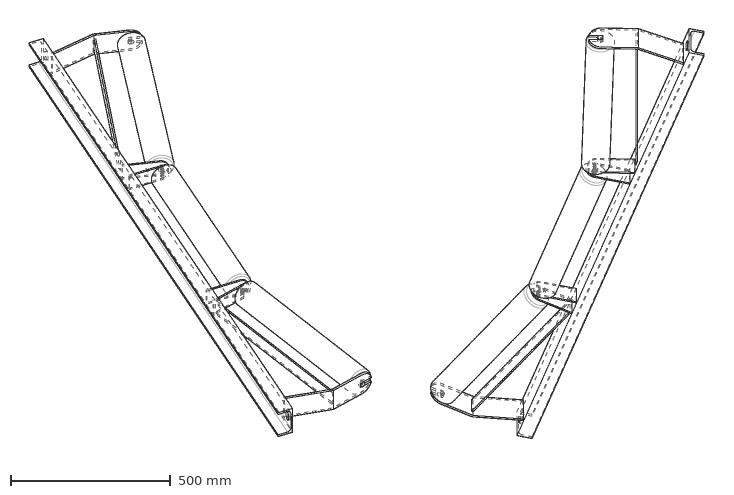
import cadquery as cq
import math

BEAM_LENGTH = 1900
BEAM_HEIGHT = 100.0
FLANGE_WIDTH = 50.0
WEB_THICKNESS = 5.0
FLANGE_THICKNESS = 8.0
ROOT_FILLET = 11.0
MOUNTING_SLOT_X = 923.0
MOUNTING_SLOT_LENGTH = 35.0
MOUNTING_SLOT_WIDTH = 17.0

ROLLER_DIAMETER = 90.0
ROLLER_LENGTH = 570
ROLLER_EDGE_RADIUS = 5.0
SHAFT_DIAMETER = 17.0
SHAFT_LENGTH = 597.0
TROUGH_ANGLE = 15
TILT_ANGLE = 2
CENTER_ROLLER_POSITION = (0, 114.0, -23.0)
LEFT_ROLLER_POSITION = (-598.0, 194.0, -11.0)

OUTER_THICKNESS = 8.0
OUTER_HEIGHT = 80.0
OUTER_FOOT_X = -884.0
OUTER_BEND_X = -912.0
OUTER_BEND_Y = 155.0
OUTER_TIP_Y = 305.0

INNER_THICKNESS = 5.0
INNER_HEIGHT = 55.0
INNER_CENTER_Z = -18.0
INNER_TIP_Y = 142.0
STRAIGHT_LEG_X = -295.0
SLOPED_LEG_FOOT_X = -348.0

STRUT_THICKNESS = 5.0
STRUT_HEIGHT = 50.0
STRUT_ANGLE = 16.5

TROUGH = math.radians(TROUGH_ANGLE)
TILT = math.radians(TILT_ANGLE)
UPPER_LEG_SLOPE = math.tan(TROUGH)
LOWER_LEG_SLOPE = (OUTER_BEND_X - OUTER_FOOT_X) / OUTER_BEND_Y
UPPER_LEG_HALF = OUTER_THICKNESS / 2 * math.hypot(1, UPPER_LEG_SLOPE)
LOWER_LEG_HALF = OUTER_THICKNESS / 2 * math.hypot(1, LOWER_LEG_SLOPE)

CENTER_FRAME = cq.Plane(CENTER_ROLLER_POSITION, xDir=(0, 1, 0), normal=(1, 0, 0))
LEFT_FRAME = cq.Plane(
    LEFT_ROLLER_POSITION,
    xDir=(math.sin(TROUGH), math.cos(TROUGH), 0),
    normal=(
        math.cos(TILT) * math.cos(TROUGH),
        -math.cos(TILT) * math.sin(TROUGH),
        -math.sin(TILT),
    ),
)


def plate(outline, height, center_z=0):
    """Extrude an XY outline to a height centred on center_z."""
    base = cq.Workplane("XY", origin=(0, 0, center_z))
    return base.polyline(outline).close().extrude(height / 2, both=True)


def round_tipped_strip(tip_y, height, center_z=0):
    """A strip from Y = 0 to a round tip, reaching across all X, to trim brackets with."""
    radius = height / 2
    shoulder_y = tip_y - radius
    return (
        cq.Workplane("YZ", origin=(0, 0, center_z))
        .moveTo(0, -radius)
        .lineTo(shoulder_y, -radius)
        .threePointArc((tip_y, 0), (shoulder_y, radius))
        .lineTo(0, radius)
        .close()
        .extrude(BEAM_LENGTH / 2, both=True)
    )


def rod(frame, diameter, length):
    """A round bar along a roller axis, centred on the frame's origin."""
    start = cq.Workplane(frame).workplane(offset=-length / 2)
    return start.circle(diameter / 2).extrude(length)


def make_beam():
    half_height = BEAM_HEIGHT / 2
    inner_z = half_height - FLANGE_THICKNESS
    profile = [
        (0, -half_height),
        (-FLANGE_WIDTH, -half_height),
        (-FLANGE_WIDTH, -inner_z),
        (-WEB_THICKNESS, -inner_z),
        (-WEB_THICKNESS, inner_z),
        (-FLANGE_WIDTH, inner_z),
        (-FLANGE_WIDTH, half_height),
        (0, half_height),
    ]
    channel = cq.Workplane("YZ").polyline(profile).close().extrude(BEAM_LENGTH / 2, both=True)

    root_box = cq.selectors.BoxSelector(
        (-BEAM_LENGTH, -2 * WEB_THICKNESS, -half_height),
        (BEAM_LENGTH, -WEB_THICKNESS / 2, half_height),
    )
    channel = channel.edges("|X").edges(root_box).fillet(ROOT_FILLET)

    mounting_slots = (
        cq.Workplane("XZ")
        .pushPoints([(-MOUNTING_SLOT_X, 0), (MOUNTING_SLOT_X, 0)])
        .slot2D(MOUNTING_SLOT_LENGTH, MOUNTING_SLOT_WIDTH, 90)
        .extrude(WEB_THICKNESS)
    )
    return channel.cut(mounting_slots)


def make_roller(frame):
    drum = rod(frame, ROLLER_DIAMETER, ROLLER_LENGTH)
    drum = drum.edges("%CIRCLE").fillet(ROLLER_EDGE_RADIUS)
    return drum.union(rod(frame, SHAFT_DIAMETER, SHAFT_LENGTH))


def outer_bend_corner(side):
    """Where the faces of the two legs meet: side is 1 for the inner faces, -1 for the outer."""
    rise = side * (LOWER_LEG_HALF - UPPER_LEG_HALF) / (UPPER_LEG_SLOPE - LOWER_LEG_SLOPE)
    x = OUTER_BEND_X + side * LOWER_LEG_HALF + LOWER_LEG_SLOPE * rise
    return x, OUTER_BEND_Y + rise


def make_left_outer_bracket():
    tip_x = OUTER_BEND_X + (OUTER_TIP_Y - OUTER_BEND_Y) * UPPER_LEG_SLOPE
    outline = [
        (OUTER_FOOT_X - LOWER_LEG_HALF, 0),
        (OUTER_FOOT_X + LOWER_LEG_HALF, 0),
        outer_bend_corner(1),
        (tip_x + UPPER_LEG_HALF, OUTER_TIP_Y),
        (tip_x - UPPER_LEG_HALF, OUTER_TIP_Y),
        outer_bend_corner(-1),
    ]
    bent_plate = plate(outline, OUTER_HEIGHT)

    slot_depth = ROLLER_DIAMETER
    shaft_slot = (
        cq.Workplane(LEFT_FRAME)
        .center((slot_depth - SHAFT_DIAMETER) / 2, 0)
        .rect(slot_depth, SHAFT_DIAMETER)
        .extrude(-ROLLER_LENGTH)
    )
    return bent_plate.intersect(round_tipped_strip(OUTER_TIP_Y, OUTER_HEIGHT)).cut(shaft_slot)


def make_left_inner_bracket():
    half = INNER_THICKNESS / 2
    sloped_half = half * math.hypot(1, UPPER_LEG_SLOPE)
    underside_y = INNER_TIP_Y - INNER_THICKNESS
    sloped_top_x = SLOPED_LEG_FOOT_X + INNER_TIP_Y * UPPER_LEG_SLOPE
    sloped_underside_x = SLOPED_LEG_FOOT_X + underside_y * UPPER_LEG_SLOPE
    outline = [
        (STRAIGHT_LEG_X + half, 0),
        (STRAIGHT_LEG_X + half, INNER_TIP_Y),
        (sloped_top_x - sloped_half, INNER_TIP_Y),
        (SLOPED_LEG_FOOT_X - sloped_half, 0),
        (SLOPED_LEG_FOOT_X + sloped_half, 0),
        (sloped_underside_x + sloped_half, underside_y),
        (STRAIGHT_LEG_X - half, underside_y),
        (STRAIGHT_LEG_X - half, 0),
    ]
    bracket = plate(outline, INNER_HEIGHT, INNER_CENTER_Z)
    bracket = bracket.intersect(round_tipped_strip(INNER_TIP_Y, INNER_HEIGHT, INNER_CENTER_Z))

    for frame in (LEFT_FRAME, CENTER_FRAME):
        bracket = bracket.cut(rod(frame, SHAFT_DIAMETER, SHAFT_LENGTH))
    return bracket


def make_left_strut():
    """A bar from the inner face of the outer bracket's upper leg, at the bend, to the beam."""
    slope = math.tan(math.radians(STRUT_ANGLE))
    thickness_along_y = STRUT_THICKNESS * math.hypot(1, slope)
    corner_x, corner_y = outer_bend_corner(1)
    rise = thickness_along_y / (1 + UPPER_LEG_SLOPE * slope)
    outline = [
        (corner_x, corner_y),
        (corner_x + corner_y / slope, 0),
        (corner_x + (corner_y + thickness_along_y) / slope, 0),
        (corner_x + UPPER_LEG_SLOPE * rise, corner_y + rise),
    ]
    return plate(outline, STRUT_HEIGHT)


beam = make_beam()
center_roller = make_roller(CENTER_FRAME)
left_bodies = [
    make_roller(LEFT_FRAME),
    make_left_outer_bracket(),
    make_left_inner_bracket(),
    make_left_strut(),
]
right_bodies = [body.mirror("YZ") for body in left_bodies]

all_bodies = [beam, center_roller, *left_bodies, *right_bodies]
result = cq.Compound.makeCompound([body.solids().val() for body in all_bodies])